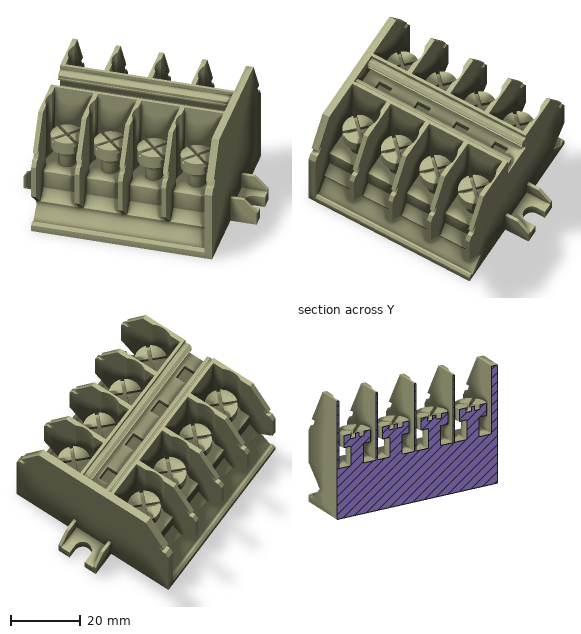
import cadquery as cq


overall_length = 69.7
body_width = 53.3
body_height = 37.0
pole_count = 4
pole_pitch = 12.95
end_plate_thickness = 2.2
housing_length = pole_count * pole_pitch
body_length = housing_length + end_plate_thickness
body_start_x = -body_length / 2
end_plate_x = body_start_x + housing_length
half_width = body_width / 2

top_half_width = 18.8
shoulder_tip = (25.0, 26.3)
shoulder_notch_top = (23.2, 26.5)
shoulder_notch_bottom = (24.3, 24.2)
shoulder_ledge = (25.6, 24.2)
side_wall_top = 22.45

groove_top = 12.2
groove_lip = (21.55, 7.3)
groove_barb_bottom = (21.4, 6.55)
groove_barb_root = (21.1, 6.8)
groove_apex = (20.4, 6.1)
groove_bottom = (24.8, 1.6)
groove_hook_root = (25.5, 2.3)
groove_hook_tip = (25.3, 2.5)
groove_hook_crest = (25.5, 2.7)
groove_crest_edge = (26.0, 2.7)
groove_front_top = 2.0

barrier_thickness = 1.4
cell_length = pole_pitch - barrier_thickness
spine_half_width = 5.85
cell_floor = 15.9
terminal_seat_reach = 18.6
terminal_seat_bottom = groove_lip[1] + groove_lip[0] - terminal_seat_reach

screw_x_in_pole = 6.8
screw_y = 12.35
screw_head_radius = 4.8
screw_shank_radius = 2.6
screw_head_bottom = 21.9
screw_head_top = 25.8
screw_slot_width = 1.1
screw_slot_depth = 1.4
driver_clearance_radius = 6.3

rail_half_width = 4.95
rail_floor = 30.1
rail_lip_bottom = 33.4
rail_lip_shelf = 35.6
rail_lip_points = [
    (4.05, rail_lip_shelf),
    (3.9, 35.8),
    (3.6, 35.8),
    (2.65, 35.0),
    (3.1, 35.0),
    (3.1, 33.9),
    (2.65, 33.9),
    (2.65, rail_lip_bottom),
]
rail_socket_side = 4.45
rail_socket_depth = 2.1
rail_socket_x_in_pole = pole_pitch / 2

ear_reach = (overall_length - body_length) / 2
ear_half_width = 6.55
ear_height = 8.0
ear_cheek_thickness = 1.0
ear_floor = 3.4
ear_tip_height = 4.1
ear_slope_run = ear_height - ear_tip_height
ear_slot_width = 5.3
ear_slot_depth = 5.45

cut_margin = 3.5


def prism_x(points, start_x, length):
    """Extrude a closed outline of (y, z) points along +X."""
    return cq.Workplane("YZ", origin=(start_x, 0, 0)).polyline(points).close().extrude(length)


def symmetric(half_points):
    """Close a +Y half outline with its mirror image in -Y."""
    return half_points + [(-y, z) for y, z in reversed(half_points)]


def both_sides(solid):
    """Join a solid with its mirror image across the XZ plane."""
    return solid.union(solid.mirror("XZ"))


upper_outline = [
    (half_width, side_wall_top),
    shoulder_ledge,
    shoulder_notch_bottom,
    shoulder_notch_top,
    shoulder_tip,
    (top_half_width, body_height),
]


def make_end_plate():
    outline = [(half_width, 0)] + upper_outline
    return prism_x(symmetric(outline), end_plate_x, end_plate_thickness)


def make_housing():
    groove_outline = [
        (half_width, groove_front_top),
        groove_crest_edge,
        groove_hook_crest,
        groove_hook_tip,
        groove_hook_root,
        groove_bottom,
        groove_apex,
        groove_barb_root,
        groove_barb_bottom,
        groove_lip,
        (half_width, groove_top),
    ]
    outline = [(half_width, 0)] + groove_outline + upper_outline
    return prism_x(symmetric(outline), body_start_x, housing_length)


def make_cell_space(pole_x):
    """Open space in front of the spine, plus the screwdriver relief in the barrier."""
    outside_y = half_width + cut_margin
    above_z = body_height + cut_margin
    outline = [
        (spine_half_width, above_z),
        (spine_half_width, cell_floor),
        (terminal_seat_reach, cell_floor),
        (terminal_seat_reach, terminal_seat_bottom),
        groove_lip,
        (outside_y, groove_lip[1]),
        (outside_y, above_z),
    ]
    space = prism_x(outline, pole_x + barrier_thickness, cell_length)
    relief_height = above_z - cell_floor
    relief = (
        cq.Workplane("XY", origin=(pole_x + screw_x_in_pole, screw_y, cell_floor))
        .circle(driver_clearance_radius)
        .extrude(relief_height)
    )
    pole_limits = cq.Workplane("XY", origin=(pole_x, 0, cell_floor)).box(
        pole_pitch, outside_y, relief_height, centered=False
    )
    return both_sides(space.union(relief.intersect(pole_limits)))


def make_screws(pole_x):
    """Cross-slotted screws standing on the cell floors of one pole."""
    shank = cq.Workplane("XY").workplane(offset=cell_floor).circle(screw_shank_radius)
    head = cq.Workplane("XY").workplane(offset=screw_head_bottom).circle(screw_head_radius)
    screw = shank.extrude(screw_head_top - cell_floor)
    screw = screw.union(head.extrude(screw_head_top - screw_head_bottom))
    slot_length = 2 * screw_head_radius + cut_margin
    for slot_angle in (45, 135):
        slot = (
            cq.Workplane("XY")
            .workplane(offset=screw_head_top - screw_slot_depth)
            .rect(slot_length, screw_slot_width)
            .extrude(screw_slot_depth + cut_margin)
            .rotate((0, 0, 0), (0, 0, 1), slot_angle)
        )
        screw = screw.cut(slot)
    return both_sides(screw.translate((pole_x + screw_x_in_pole, screw_y, 0)))


def make_rail_space():
    """Lipped channel along the top of the spine."""
    outline = (
        [(rail_half_width, body_height + cut_margin), (rail_half_width, rail_lip_shelf)]
        + rail_lip_points
        + [(rail_half_width, rail_lip_bottom), (rail_half_width, rail_floor)]
    )
    return prism_x(symmetric(outline), body_start_x, housing_length)


def make_rail_socket(pole_x):
    """Square socket in the channel floor."""
    return (
        cq.Workplane("XY", origin=(pole_x + rail_socket_x_in_pole, 0, rail_floor))
        .rect(rail_socket_side, rail_socket_side)
        .extrude(-rail_socket_depth)
    )


def make_right_ear():
    """Slotted foot with two sloping cheeks on the +X end."""
    root_x = body_length / 2
    tip_x = root_x + ear_reach
    ear = (
        cq.Workplane("XZ", origin=(0, ear_half_width, 0))
        .moveTo(root_x, 0)
        .lineTo(tip_x, 0)
        .lineTo(tip_x, ear_tip_height)
        .lineTo(tip_x - ear_slope_run, ear_height)
        .lineTo(root_x, ear_height)
        .close()
        .extrude(2 * ear_half_width)
    )
    between_cheeks = cq.Workplane("XY", origin=(root_x + ear_reach / 2, 0, ear_floor)).box(
        ear_reach, 2 * (ear_half_width - ear_cheek_thickness), ear_height, centered=(True, True, False)
    )
    slot_radius = ear_slot_width / 2
    slot_end_x = tip_x - ear_slot_depth
    slot_center_x = slot_end_x + slot_radius
    slot = (
        cq.Workplane("XY")
        .moveTo(tip_x, -slot_radius)
        .lineTo(slot_center_x, -slot_radius)
        .threePointArc((slot_end_x, 0), (slot_center_x, slot_radius))
        .lineTo(tip_x, slot_radius)
        .close()
        .extrude(ear_height)
    )
    return ear.cut(between_cheeks).cut(slot)


housing = make_housing().cut(make_rail_space())
for pole in range(pole_count):
    pole_x = body_start_x + pole * pole_pitch
    housing = housing.cut(make_cell_space(pole_x))
    housing = housing.cut(make_rail_socket(pole_x))
    housing = housing.union(make_screws(pole_x))

right_ear = make_right_ear()
left_ear = right_ear.mirror("YZ")
result = housing.union(make_end_plate()).union(right_ear).union(left_ear)